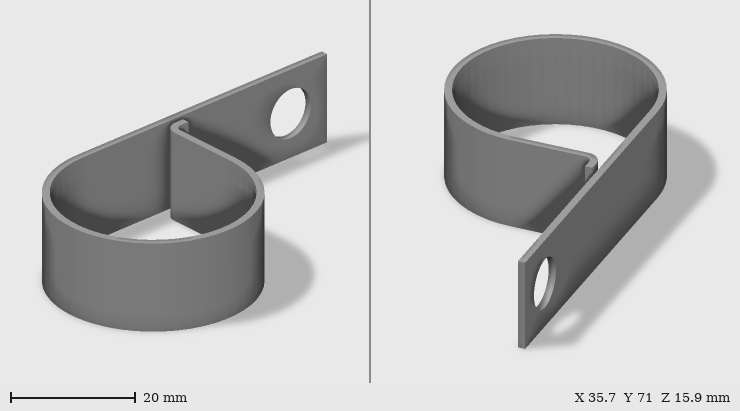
import cadquery as cq
import math

total_length = 71.05
loop_diameter = 35.7
strip_width = 15.9
thickness = 1.3

hook_gap = 1.1
hook_rise = 2.9
bend_inner_radius = 1.3

hole_diameter = 8.8
hole_end_distance = strip_width / 2

outer_radius = loop_diameter / 2
inner_radius = outer_radius - thickness
leg_end_y = total_length - outer_radius

hook_outer_x = -inner_radius + hook_gap
hook_inner_x = hook_outer_x + thickness
hook_tip_y = outer_radius + hook_rise
bend_outer_radius = bend_inner_radius + thickness
bend_center_x = hook_outer_x + bend_outer_radius
bend_center_y = inner_radius + bend_outer_radius


def loop_midpoint(radius):
    """Point halfway along the three-quarter loop, on its lower right."""
    return (radius * math.cos(math.pi / 4), -radius * math.sin(math.pi / 4))


def bend_midpoint(radius):
    """Point halfway along the hook bend, on its lower left."""
    offset = radius * math.sin(math.pi / 4)
    return (bend_center_x - offset, bend_center_y - offset)


def make_strip():
    """Extrude the bent strip outline symmetrically about the XY plane."""
    outline = (
        cq.Workplane("XY")
        .moveTo(-outer_radius, leg_end_y)
        .lineTo(-outer_radius, 0)
        .threePointArc(loop_midpoint(outer_radius), (0, outer_radius))
        .lineTo(bend_center_x, outer_radius)
        .threePointArc(bend_midpoint(bend_inner_radius), (hook_inner_x, bend_center_y))
        .lineTo(hook_inner_x, hook_tip_y)
        .lineTo(hook_outer_x, hook_tip_y)
        .lineTo(hook_outer_x, bend_center_y)
        .threePointArc(bend_midpoint(bend_outer_radius), (bend_center_x, inner_radius))
        .lineTo(0, inner_radius)
        .threePointArc(loop_midpoint(inner_radius), (-inner_radius, 0))
        .lineTo(-inner_radius, leg_end_y)
        .close()
    )
    return outline.extrude(strip_width / 2, both=True)


def make_mounting_hole():
    """Cylinder through the thickness of the leg near its end."""
    return (
        cq.Workplane("YZ", origin=(-outer_radius, 0, 0))
        .center(leg_end_y - hole_end_distance, 0)
        .circle(hole_diameter / 2)
        .extrude(thickness)
    )


result = make_strip().cut(make_mounting_hole())